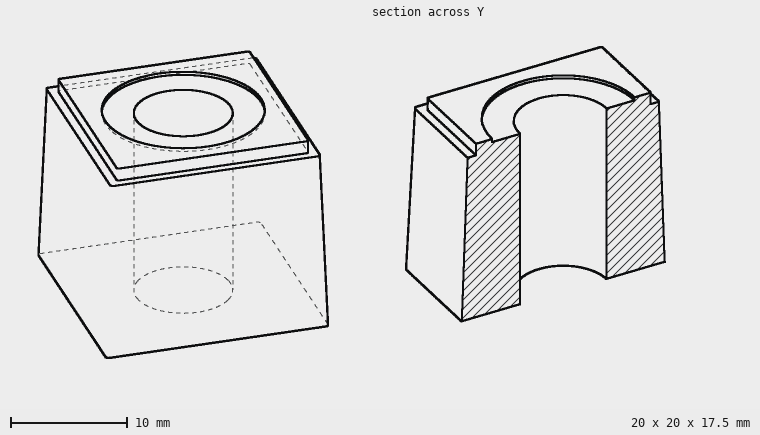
import cadquery as cq
import math

base_side = 20.0
total_height = 17.5
step_height = 1.15
body_height = total_height - step_height
draft_angle = 2.0
body_top_side = base_side - 2 * body_height * math.tan(math.radians(draft_angle))
body_corner_radius = 0.3

step_side = 17.2
step_corner_radius = 0.2

bore_diameter = 8.5
recess_diameter = 14.0
recess_depth = 0.3


def rounded_square(side, radius):
    """Centred square outline with rounded corners."""
    return cq.Sketch().rect(side, side).vertices().fillet(radius)


def tapered_body():
    """Square block narrowing upward, with the same corner radius at both ends."""
    bottom = rounded_square(base_side, body_corner_radius)
    top = rounded_square(body_top_side, body_corner_radius)
    top = top.moved(cq.Location(cq.Vector(0, 0, body_height)))
    return cq.Workplane("XY").placeSketch(bottom, top).loft()


def top_step():
    """Straight-sided square plate standing on the body."""
    outline = rounded_square(step_side, step_corner_radius)
    return cq.Workplane("XY", origin=(0, 0, body_height)).placeSketch(outline).extrude(step_height)


result = (
    tapered_body()
    .union(top_step())
    .faces(">Z")
    .workplane(origin=(0, 0, total_height))
    .cboreHole(bore_diameter, recess_diameter, recess_depth)
)